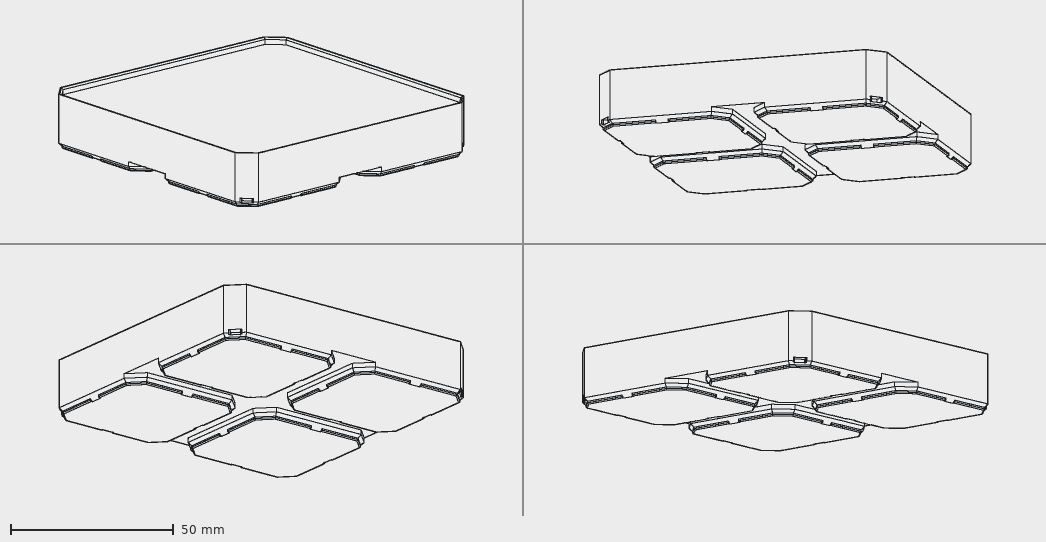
import cadquery as cq
import math

side = 93.0
height = 17.6
corner_cut = 5.1

foot_height = 3.35
foot_gap = 7.0
foot_side = (side - foot_gap) / 2
foot_pitch = foot_side + foot_gap
foot_slope_top = 1.9
foot_land_top = 0.8
foot_chamfer = 0.4
foot_land_inset = foot_slope_top - foot_land_top

notch_length = 4.1

lip_depth = 2.1
lip_rim = 0.4
lip_slope = 0.6
lip_inset = lip_rim + lip_slope

slot_length = 3.3
slot_depth = 2.8
mouth_length = 4.1
mouth_depth = 0.4
slot_bottom = 1.4
slot_top = 3.0

overlap = 0.9
foot_spots = [(sx * foot_pitch / 2, sy * foot_pitch / 2) for sx in (-1, 1) for sy in (-1, 1)]
corner_angles = (45, 135, 225, 315)
corner_distance = (side - corner_cut) / math.sqrt(2)


def octagon_points(width, inset):
    """Square with cut corners, its eight sides all moved inward by inset."""
    half = width / 2 - inset
    flat = width / 2 - corner_cut - inset * math.tan(math.pi / 8)
    return [
        (half, -flat), (half, flat), (flat, half), (-flat, half),
        (-half, flat), (-half, -flat), (-flat, -half), (flat, -half),
    ]


def octagon_prism(width, inset, bottom, top):
    plane = cq.Workplane("XY").workplane(offset=bottom)
    return plane.polyline(octagon_points(width, inset)).close().extrude(top - bottom)


def octagon_taper(width, lower_inset, bottom, upper_inset, top):
    lower = cq.Workplane("XY").workplane(offset=bottom).polyline(octagon_points(width, lower_inset)).close()
    upper = lower.workplane(offset=top - bottom).polyline(octagon_points(width, upper_inset)).close()
    return upper.loft(ruled=True, combine=True)


def edge_notch():
    """Triangular cutter in the plane of the slope, at the middle of a foot's +X side."""
    half = foot_side / 2
    reach = half + overlap
    profile = [(half - foot_slope_top, 0), (reach, 0), (reach, foot_slope_top + overlap)]
    plane = cq.Workplane("XZ").workplane(offset=-notch_length / 2)
    return plane.polyline(profile).close().extrude(notch_length)


def make_foot():
    bottom_inset = foot_land_inset + foot_chamfer
    foot = octagon_prism(foot_side, 0, foot_slope_top, foot_height)
    foot = foot.union(octagon_taper(foot_side, foot_land_inset, foot_land_top, 0, foot_slope_top))
    foot = foot.union(octagon_prism(foot_side, foot_land_inset, foot_chamfer, foot_land_top))
    foot = foot.union(octagon_taper(foot_side, bottom_inset, 0, foot_land_inset, foot_chamfer))
    notch = edge_notch()
    for angle in (0, 90, 180, 270):
        foot = foot.cut(notch.rotate((0, 0, 0), (0, 0, 1), angle))
    return foot


def lip_recess():
    recess = octagon_prism(side, lip_inset, height - lip_depth, height)
    return recess.union(octagon_taper(side, lip_inset, height - lip_slope, lip_rim, height))


def slot_box(length, depth):
    """Box square to the +X axis, entering a corner face by depth."""
    box = cq.Workplane("XY").box(
        depth + overlap, length, slot_top - slot_bottom, centered=(False, True, False)
    )
    return box.translate((corner_distance - depth, 0, slot_bottom))


body = octagon_prism(side, 0, foot_height, height).cut(lip_recess())

foot = make_foot()
for x, y in foot_spots:
    body = body.union(foot.translate((x, y, 0)))

slot = slot_box(slot_length, slot_depth).union(slot_box(mouth_length, mouth_depth))
for angle in corner_angles:
    body = body.cut(slot.rotate((0, 0, 0), (0, 0, 1), angle))

result = body